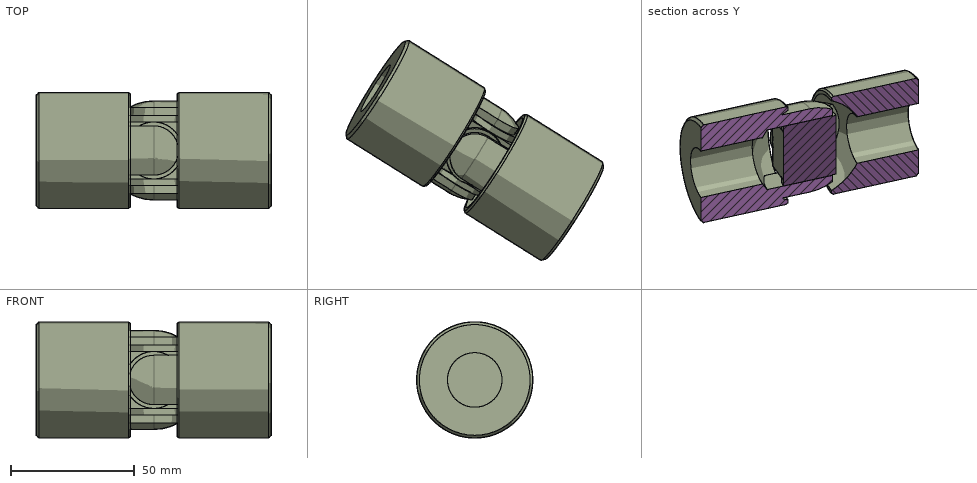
import cadquery as cq

overall_length = 95.0
sleeve_diameter = 47.0
sleeve_gap = 18.8
bore_diameter = 22.0
end_chamfer = 1.1

socket_radius = 23.4
mouth_chamfer_length = 0.9
mouth_chamfer_depth = 0.7

ear_outer_radius = 20.0
ear_width = 19.95
ear_inner_offset = 14.2

cross_diameter = 23.0

half_length = overall_length / 2
sleeve_radius = sleeve_diameter / 2
mouth_x = -sleeve_gap / 2
ear_root_x = -socket_radius


def x_cylinder(radius, start, end):
    return cq.Workplane("YZ", origin=(start, 0, 0)).circle(radius).extrude(end - start)


def sleeve():
    """Solid sleeve of the -X yoke, chamfered at both ends and hollowed by the socket."""
    profile = [
        (-half_length, 0),
        (-half_length, sleeve_radius - end_chamfer),
        (-half_length + end_chamfer, sleeve_radius),
        (mouth_x - mouth_chamfer_length, sleeve_radius),
        (mouth_x, sleeve_radius - mouth_chamfer_depth),
        (mouth_x, 0),
    ]
    body = cq.Workplane("XY").polyline(profile).close().revolve(360, (0, 0, 0), (1, 0, 0))
    return body.cut(cq.Workplane("XY").sphere(socket_radius))


def ears():
    """Pair of ears above and below the cross, round in plan and domed at the tip."""
    stem_length = -ear_root_x
    plan = (
        cq.Workplane("XY", origin=(0, 0, -ear_outer_radius))
        .center(-stem_length / 2, 0)
        .rect(stem_length, ear_width)
        .extrude(2 * ear_outer_radius)
    )
    tip = cq.Workplane("XY", origin=(0, 0, -ear_outer_radius)).circle(ear_width / 2)
    plan = plan.union(tip.extrude(2 * ear_outer_radius))
    envelope = x_cylinder(ear_outer_radius, ear_root_x, 0)
    envelope = envelope.union(cq.Workplane("XY").sphere(ear_outer_radius))
    space_between = cq.Workplane("XY").box(overall_length, sleeve_diameter, 2 * ear_inner_offset)
    return plan.intersect(envelope).cut(space_between)


def yoke():
    """Yoke on the -X side, with its ears spread along Z and a shaft bore open to the socket."""
    shaft_bore = x_cylinder(bore_diameter / 2, -half_length, 0)
    return sleeve().union(ears()).cut(shaft_bore)


def cross():
    """Cube with a round boss reaching the inner face of each ear."""
    body = cq.Workplane("XY").box(cross_diameter, cross_diameter, cross_diameter)
    for plane in ("XY", "XZ"):
        boss = cq.Workplane(plane).circle(cross_diameter / 2).extrude(ear_inner_offset, both=True)
        body = body.union(boss)
    return body


yokes = [
    yoke(),
    yoke().rotate((0, 0, 0), (0, 0, 1), 180).rotate((0, 0, 0), (1, 0, 0), 90),
]
result = cq.Compound.makeCompound([*(item.val() for item in yokes), cross().val()])